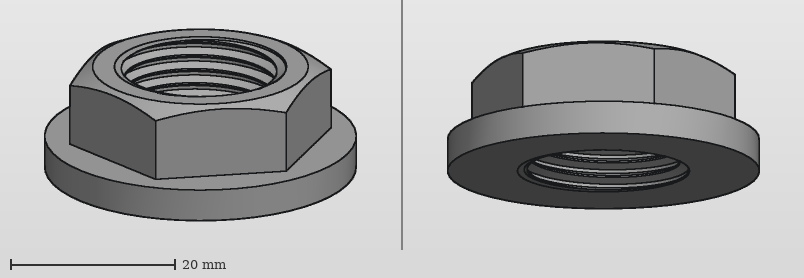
import cadquery as cq
import math

flange_diameter = 38.0
flange_height = 4.0
total_height = 13.0
across_flats = 28.0
hexagon_turn = 180 / 6
top_face_diameter = 26.3
corner_chamfer_angle = 25.0

bore_diameter = 20.98
crest_diameter = 18.62
pitch = 1.82
crest_width = pitch / 8
root_width = pitch * 3 / 4
ridge_turn = 102.0

bore_radius = bore_diameter / 2
crest_radius = crest_diameter / 2


def make_nut():
    """Chamfered hexagon on a round flange, with a plain bore right through."""
    across_corners = across_flats / math.cos(math.radians(hexagon_turn))
    flange = cq.Workplane("XY").circle(flange_diameter / 2).extrude(flange_height)
    hexagon = (
        cq.Workplane("XY")
        .polygon(6, across_corners)
        .extrude(total_height)
        .rotate((0, 0, 0), (0, 0, 1), hexagon_turn)
    )
    top_radius = top_face_diameter / 2
    cone_radius = across_corners
    cone_drop = (cone_radius - top_radius) * math.tan(math.radians(corner_chamfer_angle))
    chamfer_envelope = (
        cq.Workplane("XZ")
        .moveTo(0, total_height)
        .lineTo(top_radius, total_height)
        .lineTo(cone_radius, total_height - cone_drop)
        .lineTo(cone_radius, 0)
        .lineTo(0, 0)
        .close()
        .revolve(360, (0, 0), (0, 1))
    )
    bore = cq.Workplane("XY").circle(bore_radius).extrude(total_height)
    return flange.union(hexagon.intersect(chamfer_envelope)).cut(bore)


def make_thread():
    """Helical ridge that touches the bore wall, cut flush with both faces."""
    start = -pitch
    path = cq.Wire.makeHelix(pitch, total_height + 2 * pitch, bore_radius).translate(cq.Vector(0, 0, start))
    crest_half_width = crest_width / 2
    root_half_width = root_width / 2
    ridge = (
        cq.Workplane("XZ")
        .moveTo(crest_radius, start - crest_half_width)
        .lineTo(crest_radius, start + crest_half_width)
        .lineTo(bore_radius, start + root_half_width)
        .lineTo(bore_radius, start - root_half_width)
        .close()
        .sweep(cq.Workplane(path), isFrenet=True)
        .rotate((0, 0, 0), (0, 0, 1), ridge_turn)
    )
    nut_slab = cq.Workplane("XY").rect(flange_diameter, flange_diameter).extrude(total_height)
    return ridge.intersect(nut_slab)


nut = make_nut()
thread = make_thread()
result = cq.Compound.makeCompound([nut.val(), *thread.vals()])